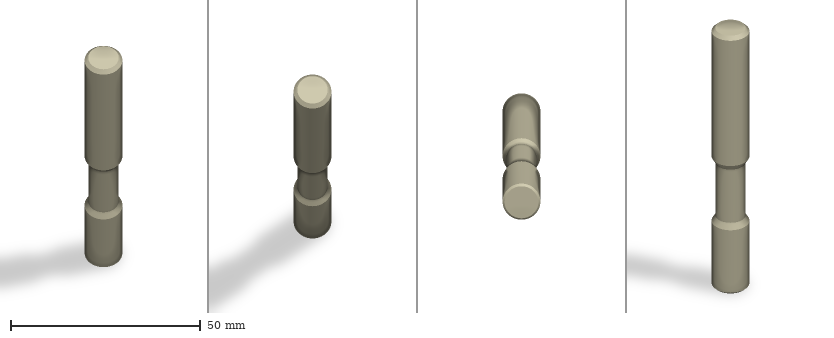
import cadquery as cq
import math

length = 80.0
shank_diameter = 10.0
neck_diameter = 8.0
top_face_diameter = 8.0
upper_shank_length = 40.0
lower_shank_length = 20.0
shoulder_angle = 30.0
bottom_chamfer = 0.6

shank_radius = shank_diameter / 2
neck_radius = neck_diameter / 2
top_face_radius = top_face_diameter / 2
top_chamfer = shank_radius - top_face_radius
upper_shank_start = length - upper_shank_length
shoulder_length = (shank_radius - neck_radius) / math.tan(math.radians(shoulder_angle))

profile = [
    (0, 0),
    (shank_radius - bottom_chamfer, 0),
    (shank_radius, bottom_chamfer),
    (shank_radius, lower_shank_length),
    (neck_radius, lower_shank_length + shoulder_length),
    (neck_radius, upper_shank_start - shoulder_length),
    (shank_radius, upper_shank_start),
    (shank_radius, length - top_chamfer),
    (top_face_radius, length),
    (0, length),
]

result = cq.Workplane("XZ").polyline(profile).close().revolve(360, (0, 0, 0), (0, 1, 0))